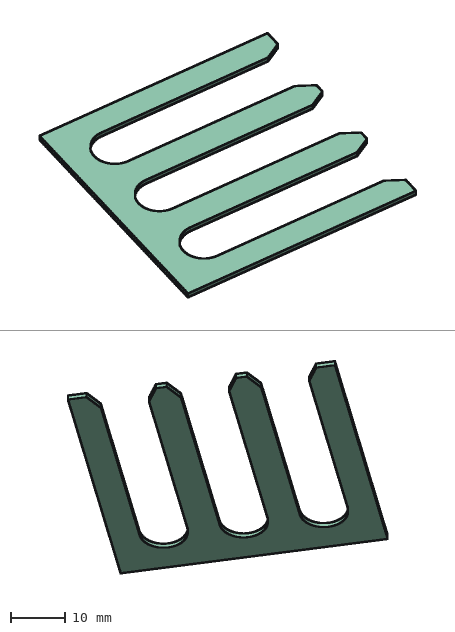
import cadquery as cq
import math

plate_side = 50.0
thickness = 1.0

slot_count = 3
slot_pitch = 15.0
slot_width = 9.0
slot_radius = slot_width / 2
base_depth = 5.5

bevel_width = 2.0
bevel_angle = 60.0
bevel_length = bevel_width * math.tan(math.radians(bevel_angle))

mouth_y = plate_side / 2
bevel_start_y = mouth_y - bevel_length
slot_bottom_y = -plate_side / 2 + base_depth
arc_center_y = slot_bottom_y + slot_radius


def slot_cutter(center_x):
    """Round-bottomed slot with a flared mouth, open at the +Y edge."""
    left = center_x - slot_radius
    right = center_x + slot_radius
    return (
        cq.Workplane("XY")
        .moveTo(left - bevel_width, mouth_y)
        .lineTo(left, bevel_start_y)
        .lineTo(left, arc_center_y)
        .threePointArc((center_x, slot_bottom_y), (right, arc_center_y))
        .lineTo(right, bevel_start_y)
        .lineTo(right + bevel_width, mouth_y)
        .close()
        .extrude(thickness)
    )


result = cq.Workplane("XY").rect(plate_side, plate_side).extrude(thickness)

for index in range(slot_count):
    slot_x = (index - (slot_count - 1) / 2) * slot_pitch
    result = result.cut(slot_cutter(slot_x))